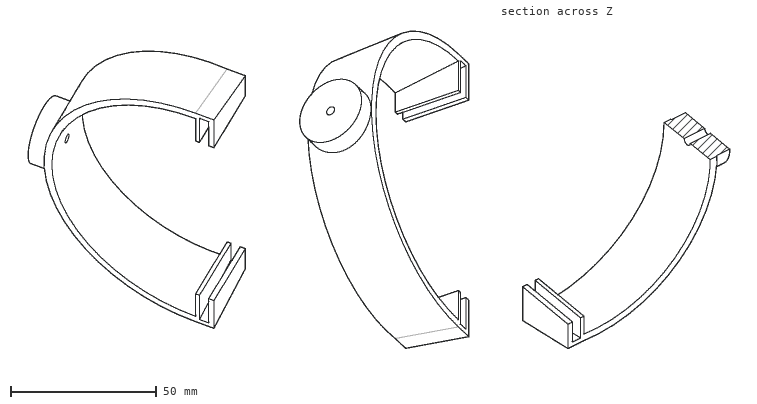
import cadquery as cq


depth = 25.5
front_half_height = 57.25
back_half_height = 53.0
front_reach = 57.8
back_reach = 58.2
band_wall = 3.0

clip_length = 7.0
inner_plate_thickness = 1.5
outer_plate_thickness = 2.0
slot_roof_thickness = 2.0
plate_drop = 15.3
plate_tip_height = front_half_height - plate_drop

total_length = 71.0
boss_diameter = 25.0
hole_diameter = 3.17
boss_face_x = clip_length - total_length
boss_y = depth / 2


def band_section(plane, reach, half_height, end_x):
    """Closed outline: an arc bulging to -X, with level legs out to end_x if that lies past X = 0."""
    outline = plane.moveTo(0, half_height).threePointArc((-reach, 0), (0, -half_height))
    if end_x > 0:
        outline = outline.lineTo(end_x, -half_height).lineTo(end_x, half_height)
    return outline.close()


def tapered_band_body(inset, end_x):
    """Solid between the front and back outlines, both shrunk by inset."""
    front = band_section(
        cq.Workplane("XZ"), front_reach - inset, front_half_height - inset, end_x
    )
    back_plane = front.workplane(offset=-depth, origin=(0, 0, 0))
    back = band_section(back_plane, back_reach - inset, back_half_height - inset, end_x)
    return back.loft(ruled=True, combine=True)


def clip_slot():
    """Slot between the clip plates; its roof follows the taper of the band."""
    front_roof = front_half_height - slot_roof_thickness
    back_roof = back_half_height - slot_roof_thickness
    slot_start = inner_plate_thickness
    slot_end = clip_length - outer_plate_thickness
    corners = [(0, -front_roof), (0, front_roof), (depth, back_roof), (depth, -back_roof)]
    plane = cq.Workplane("YZ", origin=(slot_start, 0, 0))
    return plane.polyline(corners).close().extrude(slot_end - slot_start)


def mouth():
    """Opening between the tips of the upper and lower clip plates."""
    return cq.Workplane("XY").box(
        clip_length, depth, 2 * plate_tip_height, centered=(False, False, True)
    )


def crown_cylinder(diameter):
    """Cylinder along X from the boss face to X = 0."""
    plane = cq.Workplane("YZ", origin=(boss_face_x, boss_y, 0))
    return plane.circle(diameter / 2).extrude(-boss_face_x)


outer_body = tapered_band_body(0, clip_length)
cavity = tapered_band_body(band_wall, 0)

result = outer_body.union(crown_cylinder(boss_diameter))
result = result.cut(cavity).cut(clip_slot()).cut(mouth())
result = result.cut(crown_cylinder(hole_diameter))